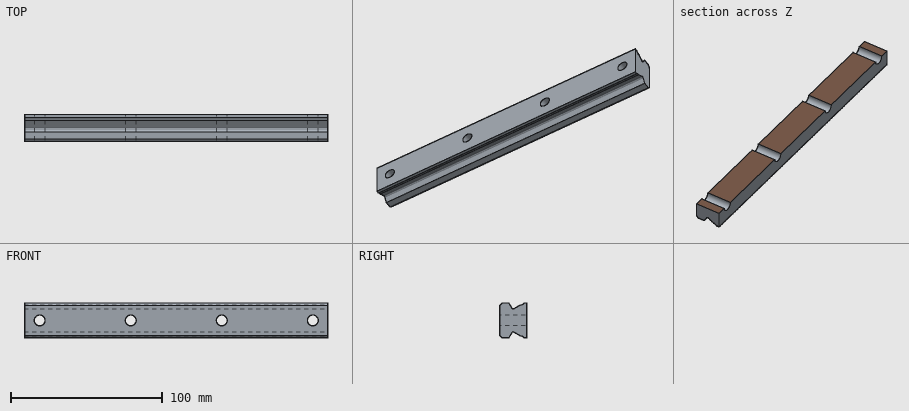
import cadquery as cq
import math

length = 200.0
depth = 18.0
width = 23.0

hole_diameter = 7.0
hole_pitch = 60.0
hole_count = 4

base_thickness = 6.2
base_chamfer = 1.6

head_land = 2.0
track_depth = 1.9
track_drop = 1.2
track_bulge = 0.3

head_flank_angle = 30.0
groove_shoulder = 0.3
groove_radius = 0.8

half_width = width / 2
track_end = depth - head_land - track_depth
track_floor = half_width - track_drop
shoulder_end = track_end - groove_shoulder

head_flank_slope = math.tan(math.radians(head_flank_angle))
base_flank_slope = 1 / head_flank_slope
groove_fall = track_drop + head_flank_slope * (shoulder_end - base_thickness)
corner_run = groove_fall / (head_flank_slope + base_flank_slope)
corner_y = base_thickness + corner_run
corner_z = half_width - base_flank_slope * corner_run


def track_midpoint():
    """Point halfway along the ball track arc, set inward from its chord."""
    chord = math.hypot(track_depth, track_drop)
    mid_y = (depth - head_land + track_end) / 2 + track_bulge * track_drop / chord
    mid_z = (half_width + track_floor) / 2 - track_bulge * track_depth / chord
    return (mid_y, mid_z)


def half_rail():
    """Upper half of the rail, from its middle plane to +Z."""
    profile = (
        cq.Workplane("YZ")
        .moveTo(0, 0)
        .lineTo(0, half_width - base_chamfer)
        .lineTo(base_chamfer, half_width)
        .lineTo(base_thickness, half_width)
        .lineTo(corner_y, corner_z)
        .lineTo(shoulder_end, track_floor)
        .lineTo(track_end, track_floor)
        .threePointArc(track_midpoint(), (depth - head_land, half_width))
        .lineTo(depth, half_width)
        .lineTo(depth, 0)
        .close()
    )
    body = profile.extrude(length)
    groove_corner = cq.selectors.NearestToPointSelector((length / 2, corner_y, corner_z))
    return body.edges(groove_corner).fillet(groove_radius)


def mounting_holes():
    """Row of through holes along the rail, centred on its length."""
    first_hole = (length - (hole_count - 1) * hole_pitch) / 2
    centres = [(first_hole + i * hole_pitch, 0) for i in range(hole_count)]
    return cq.Workplane("XZ").pushPoints(centres).circle(hole_diameter / 2).extrude(-depth)


upper_half = half_rail()
lower_half = upper_half.mirror("XY")
result = upper_half.union(lower_half).cut(mounting_holes())